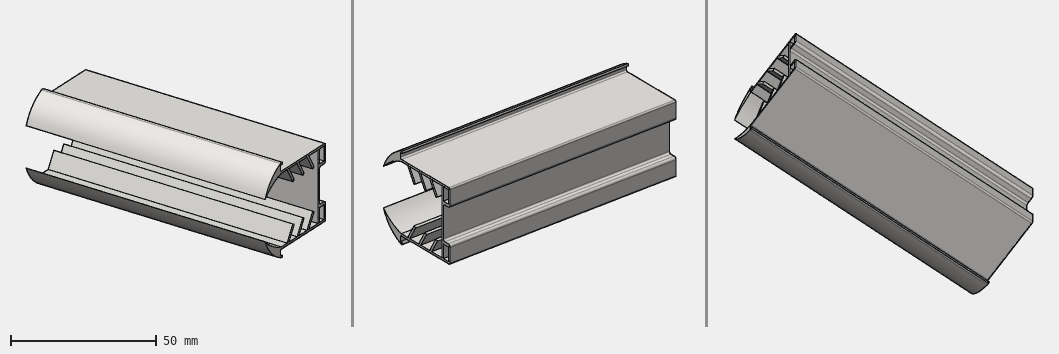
import cadquery as cq
import math

length = 100.0
depth = 36.4
lip_height = 18.3
half_height = 15.0
wall = 0.9
inner_face = half_height - wall

web_back = 3.6
web_front = web_back + wall
box_floor = 1.2
box_inner_end = 7.2
box_corner_radius = 1.0
back_edge_radius = 0.6
web_step_radius = 0.8
lip_step_radius = 0.6

fin_count = 3
fin_pitch = 6.0
first_fin_root = 10.0
fin_angle = 60.0
fin_thickness = 1.0
fin_tip_height = 8.6

lip_start = 25.9
lip_step = 27.1
lip_underside = 17.4
lip_edge_reach = 0.4
tip_height = 8.1
lip_crown = (27.1, 18.1)
lip_outer_mid = (32.2, 14.6)
lip_inner_start = 26.6
lip_inner_mid = (31.8, 11.9)

profile_plane = cq.Plane(origin=(-length / 2, depth / 2, 0), xDir=(0, -1, 0), normal=(-1, 0, 0))


def extrude(outline):
    return outline.extrude(-length)


def block(u_min, u_max, z_min, z_max):
    outline = cq.Workplane(profile_plane).moveTo(u_min, z_min).lineTo(u_max, z_min)
    return extrude(outline.lineTo(u_max, z_max).lineTo(u_min, z_max).close())


def edges_at(solid, u, z):
    """Select the lengthwise edge at one profile point."""
    y = depth / 2 - u
    margin = wall / 10
    selector = cq.selectors.BoxSelector(
        (-length, y - margin, z - margin),
        (length, y + margin, z + margin),
    )
    return solid.edges("|X").edges(selector)


def upper_channel():
    """Side wall, corner box and half of the back web."""
    channel = block(0, lip_step, box_inner_end, half_height)
    channel = channel.cut(block(web_front, lip_step, box_inner_end, inner_face))
    channel = channel.cut(block(wall, web_back, box_inner_end + box_floor, inner_face))
    channel = channel.union(block(web_back, web_front, 0, half_height))
    channel = edges_at(channel, 0, box_inner_end).fillet(box_corner_radius)
    channel = edges_at(channel, 0, half_height).fillet(back_edge_radius)
    return edges_at(channel, web_back, box_inner_end).fillet(web_step_radius)


def fin(root):
    """Flat fin leaning back from the side wall toward the web."""
    angle = math.radians(fin_angle)
    along = (-math.cos(angle), -math.sin(angle))
    across = (fin_thickness * math.sin(angle), -fin_thickness * math.cos(angle))
    reach = (inner_face - fin_tip_height) / math.sin(angle)
    tip = (root + reach * along[0], inner_face + reach * along[1])
    overlap = wall / 2 / math.sin(angle)
    base = (root - overlap * along[0], inner_face - overlap * along[1])
    far_tip = (tip[0] + across[0], tip[1] + across[1])
    far_base = (base[0] + across[0], base[1] + across[1])
    points = [base, tip, far_tip, far_base]
    return extrude(cq.Workplane(profile_plane).polyline(points).close())


def lip():
    """Crescent lip that curves from the outer edge down to a sharp tip."""
    edge_middle = (lip_height + lip_underside) / 2
    outline = (
        cq.Workplane(profile_plane)
        .moveTo(lip_start, inner_face)
        .lineTo(lip_inner_start, inner_face)
        .threePointArc(lip_inner_mid, (depth, tip_height))
        .threePointArc(lip_outer_mid, lip_crown)
        .lineTo(lip_start + lip_edge_reach, lip_height)
        .threePointArc((lip_start, edge_middle), (lip_start + lip_edge_reach, lip_underside))
        .lineTo(lip_step, lip_underside)
        .lineTo(lip_step, half_height)
        .lineTo(lip_start, half_height)
        .close()
    )
    return extrude(outline)


upper_half = upper_channel().union(lip())
upper_half = edges_at(upper_half, lip_step, half_height).fillet(lip_step_radius)
for index in range(fin_count):
    upper_half = upper_half.union(fin(first_fin_root + index * fin_pitch))

result = upper_half.union(upper_half.mirror("XY")).clean()